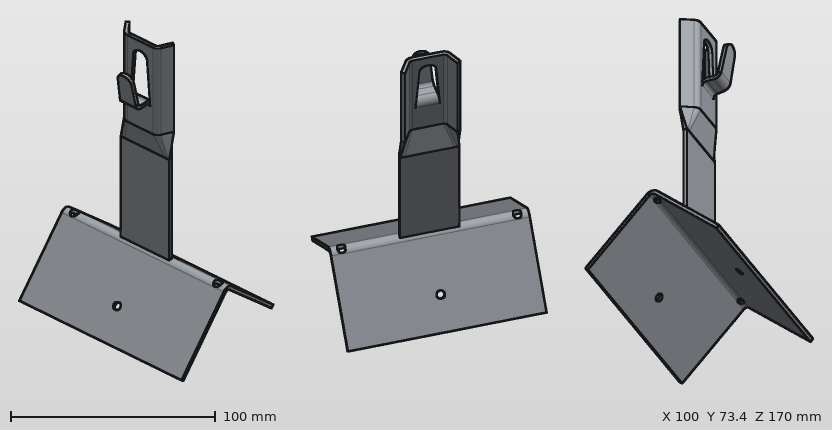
import cadquery as cq
import math

sheet = 2.0
inner_bend = 2.0
outer_bend = inner_bend + sheet
hole_diameter = 4.0

base_length = 100.0
base_half_span = 36.7
fold_angle = math.radians(45)
leg_hole_y = 23.5
ridge_hole_x = 44.2

strap_width = 30.0
strap_top = 100.0
channel_bottom = 115.3
channel_top = 170.0

web_front_y = -5.0
web_flat_half = 7.8
flange_angle = math.radians(58)

flat_bend_start = 12.5
flat_bend_end = 14.0

slit_z = 132.1
slit_half_width = 6.1
window_top = 163.9
window_round = 4.2
hook_tilt = math.radians(10)
hook_arm_end_y = -10.7
hook_bend_half_width = 5.0
hook_tip_z = 156.7

leg_end_rise = sheet * math.cos(fold_angle)
outer_apex_z = base_half_span + leg_end_rise
inner_apex_z = outer_apex_z - sheet / math.cos(fold_angle)
fold_axis_z = outer_apex_z - outer_bend / math.cos(fold_angle)

root_axis_y = web_front_y - inner_bend
root_axis_z = slit_z
arm_bottom = slit_z + inner_bend
arm_top = arm_bottom + sheet
hook_axis_z = arm_top + inner_bend


def make_ridge_hole(x):
    """Hole bent with the sheet: its walls run toward the fold axis, so it narrows inward."""
    mean_radius = inner_bend + sheet / 2
    wall_slope = math.tan(hole_diameter / 2 / mean_radius)
    start = inner_bend / 2
    end = outer_bend + sheet
    return (
        cq.Workplane("XY", origin=(x, 0, fold_axis_z + start))
        .ellipse(hole_diameter / 2, start * wall_slope)
        .workplane(offset=end - start)
        .ellipse(hole_diameter / 2, end * wall_slope)
        .loft(combine=True)
    )


def make_leg_hole(side):
    """Hole square to the sloping leg on the given side of the ridge."""
    return (
        cq.Workplane(
            cq.Plane(
                origin=(0, side * leg_hole_y, outer_apex_z - leg_hole_y),
                xDir=(1, 0, 0),
                normal=(0, side * math.sin(fold_angle), math.cos(fold_angle)),
            )
        )
        .circle(hole_diameter / 2)
        .extrude(2 * sheet, both=True)
    )


def make_base():
    inner_end_y = base_half_span - sheet * math.sin(fold_angle)
    plate = (
        cq.Workplane("YZ")
        .moveTo(-base_half_span, leg_end_rise)
        .lineTo(0, outer_apex_z)
        .lineTo(base_half_span, leg_end_rise)
        .lineTo(inner_end_y, 0)
        .lineTo(0, inner_apex_z)
        .lineTo(-inner_end_y, 0)
        .close()
        .extrude(base_length / 2, both=True)
    )
    plate = plate.edges(cq.selectors.NearestToPointSelector((0, 0, outer_apex_z))).fillet(outer_bend)
    plate = plate.edges(cq.selectors.NearestToPointSelector((0, 0, inner_apex_z))).fillet(inner_bend)
    for side in (-1, 1):
        plate = plate.cut(make_leg_hole(side))
        plate = plate.cut(make_ridge_hole(side * ridge_hole_x))
    return plate


def make_strap():
    """Flat strap whose lower end is shaped to the rounded ridge."""
    strap = cq.Workplane("XY", origin=(0, 0, fold_axis_z)).rect(strap_width, sheet)
    strap = strap.extrude(strap_top - fold_axis_z)
    ridge = cq.Workplane("YZ").center(0, fold_axis_z).circle(outer_bend).extrude(strap_width, both=True)
    return strap.cut(ridge)


def channel_half_points():
    """Points of the +X half of the channel section: front face outward, then back face inward."""
    bend_y = web_front_y + outer_bend

    def bend_point(radius, angle):
        return (web_flat_half + radius * math.sin(angle), bend_y - radius * math.cos(angle))

    front_bend_end = bend_point(outer_bend, flange_angle)
    flange_run = strap_width / 2 - front_bend_end[0]
    front_tip = (strap_width / 2, front_bend_end[1] + flange_run * math.tan(flange_angle))
    back_tip = (
        front_tip[0] - sheet * math.sin(flange_angle),
        front_tip[1] + sheet * math.cos(flange_angle),
    )
    return [
        bend_point(outer_bend, 0),
        bend_point(outer_bend, flange_angle / 2),
        front_bend_end,
        front_tip,
        back_tip,
        bend_point(inner_bend, flange_angle),
        bend_point(inner_bend, flange_angle / 2),
        bend_point(inner_bend, 0),
    ]


def flat_half_points():
    """Points of the flat strap section matching those of the channel, one for one."""
    tip = strap_width / 2
    xs = [flat_bend_start, (flat_bend_start + flat_bend_end) / 2, flat_bend_end, tip]
    return [(x, -sheet / 2) for x in xs] + [(x, sheet / 2) for x in reversed(xs)]


def draw_bend(sketch, start, middle, end):
    """Arc through the three points, or a straight line where the bend is flattened."""
    if start[1] == end[1]:
        return sketch.lineTo(*end)
    return sketch.threePointArc(middle, end)


def draw_section_half(sketch, points):
    """Bend, flange side, flange tip, flange side and bend of one half of the section."""
    sketch = draw_bend(sketch, *points[0:3])
    for corner in points[3:6]:
        sketch = sketch.lineTo(*corner)
    return draw_bend(sketch, *points[5:8])


def draw_section(plane, half_points):
    """Draw a symmetric sheet section with curved or flattened bends at the web ends."""
    left_points = [(-x, y) for x, y in reversed(half_points)]
    sketch = draw_section_half(plane.moveTo(*half_points[0]), half_points)
    sketch = draw_section_half(sketch.lineTo(*left_points[0]), left_points)
    return sketch.close()


def make_transition():
    """Blend from the flat strap section to the channel section."""
    lower = draw_section(cq.Workplane("XY", origin=(0, 0, strap_top)), flat_half_points())
    both = draw_section(lower.workplane(offset=channel_bottom - strap_top), channel_half_points())
    return both.loft(ruled=True)


def make_window():
    """Tapered opening with a round top, cut through the web."""
    round_z = window_top - window_round
    return (
        cq.Workplane("XZ")
        .moveTo(-slit_half_width, slit_z)
        .lineTo(slit_half_width, slit_z)
        .lineTo(window_round, round_z)
        .threePointArc((0, window_top), (-window_round, round_z))
        .close()
        .extrude(-2 * web_front_y)
    )


def make_hook_arm():
    """Root bend, level arm and upward bend, narrowing away from the web."""
    turn = math.pi / 2 - hook_tilt

    def root_point(radius):
        return (root_axis_y + radius * math.sin(math.pi / 4), root_axis_z + radius * math.cos(math.pi / 4))

    def bend_point(radius, angle):
        return (hook_arm_end_y - radius * math.sin(angle), hook_axis_z - radius * math.cos(angle))

    web_back_y = web_front_y + sheet
    bend_end_y = bend_point(outer_bend, turn)[0]
    strip = (
        cq.Workplane("YZ")
        .moveTo(web_front_y, slit_z)
        .threePointArc(root_point(inner_bend), (root_axis_y, arm_bottom))
        .lineTo(hook_arm_end_y, arm_bottom)
        .threePointArc(bend_point(outer_bend, turn / 2), bend_point(outer_bend, turn))
        .lineTo(*bend_point(inner_bend, turn))
        .threePointArc(bend_point(inner_bend, turn / 2), (hook_arm_end_y, arm_top))
        .lineTo(root_axis_y, arm_top)
        .threePointArc(root_point(outer_bend), (web_back_y, slit_z))
        .close()
        .extrude(slit_half_width, both=True)
    )
    taper = (
        cq.Workplane("XY", origin=(0, 0, slit_z))
        .moveTo(-slit_half_width, web_back_y)
        .lineTo(slit_half_width, web_back_y)
        .lineTo(hook_bend_half_width, bend_end_y)
        .lineTo(-hook_bend_half_width, bend_end_y)
        .close()
        .extrude(hook_axis_z - slit_z)
    )
    return strip.intersect(taper)


def make_hook_upright():
    """Leaning, tapered tongue with a round tip, starting where the upward bend ends."""
    start_y = hook_arm_end_y - inner_bend * math.cos(hook_tilt)
    start_z = hook_axis_z - inner_bend * math.sin(hook_tilt)
    length = (hook_tip_z - start_z) / math.cos(hook_tilt)
    round_start = length - window_round
    plane = cq.Plane(
        origin=(0, start_y, start_z),
        xDir=(1, 0, 0),
        normal=(0, -math.cos(hook_tilt), -math.sin(hook_tilt)),
    )
    return (
        cq.Workplane(plane)
        .moveTo(-hook_bend_half_width, 0)
        .lineTo(hook_bend_half_width, 0)
        .lineTo(window_round, round_start)
        .threePointArc((0, length), (-window_round, round_start))
        .close()
        .extrude(sheet)
    )


def make_channel():
    channel = draw_section(cq.Workplane("XY", origin=(0, 0, channel_bottom)), channel_half_points())
    channel = channel.extrude(channel_top - channel_bottom)
    channel = channel.cut(make_window())
    return channel.union(make_hook_arm()).union(make_hook_upright())


base = make_base()
strap = make_strap()
transition = make_transition()
channel = make_channel()

result = cq.Compound.makeCompound([base.val(), strap.val(), transition.val(), channel.val()])